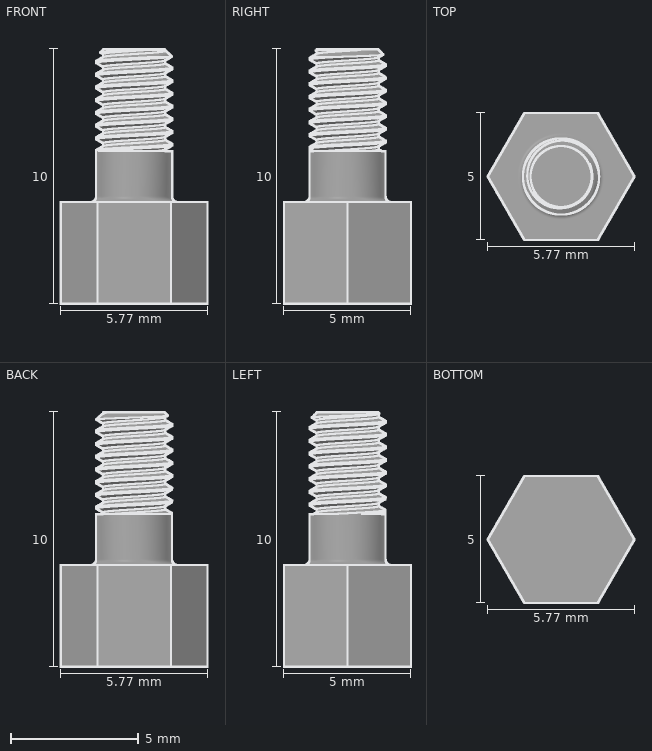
import cadquery as cq
import math

hex_across_flats = 5.0
hex_height = 4.0

overall_height = 10.0
shank_length = 2.0
stud_radius = 1.5
root_fillet = 0.2
tip_chamfer = 0.3

pitch = 0.5
flank_angle = math.radians(30)
crest_flat = pitch / 8
root_flat = pitch / 4
thread_depth = (pitch - crest_flat - root_flat) / 2 / math.tan(flank_angle)
cutter_overshoot = 0.02

thread_start = hex_height + shank_length


def make_hex_base():
    across_corners = hex_across_flats / math.cos(math.radians(30))
    return cq.Workplane("XY").polygon(6, across_corners).extrude(hex_height)


def make_shank():
    """Plain cylinder that flares out to the base with a concave fillet."""
    foot_radius = stud_radius + root_fillet
    fillet_top = hex_height + root_fillet
    arc_inset = root_fillet * (1 - math.sqrt(0.5))
    return (
        cq.Workplane("XZ")
        .moveTo(0, hex_height)
        .lineTo(foot_radius, hex_height)
        .threePointArc((stud_radius + arc_inset, hex_height + arc_inset), (stud_radius, fillet_top))
        .lineTo(stud_radius, thread_start)
        .lineTo(0, thread_start)
        .close()
        .revolve(360, (0, 0, 0), (0, 1, 0))
    )


def make_thread_groove():
    """Helical trapezoid, centred on the +X side at whole pitches above the thread start."""
    root_radius = stud_radius - thread_depth
    outer_radius = stud_radius + cutter_overshoot
    root_half = root_flat / 2
    outer_half = root_half + (outer_radius - root_radius) * math.tan(flank_angle)
    groove_start = thread_start - pitch
    groove_length = overall_height - thread_start + 2 * pitch
    helix = cq.Wire.makeHelix(pitch, groove_length, root_radius, center=cq.Vector(0, 0, groove_start))
    profile = [
        (root_radius, groove_start - root_half),
        (outer_radius, groove_start - outer_half),
        (outer_radius, groove_start + outer_half),
        (root_radius, groove_start + root_half),
    ]
    return cq.Workplane("XZ").polyline(profile).close().sweep(cq.Workplane(helix), isFrenet=True)


def make_threaded_end():
    blank = (
        cq.Workplane("XY", origin=(0, 0, thread_start))
        .circle(stud_radius)
        .extrude(overall_height - thread_start)
        .faces(">Z")
        .chamfer(tip_chamfer)
    )
    return blank.cut(make_thread_groove())


result = make_hex_base().union(make_shank()).union(make_threaded_end())